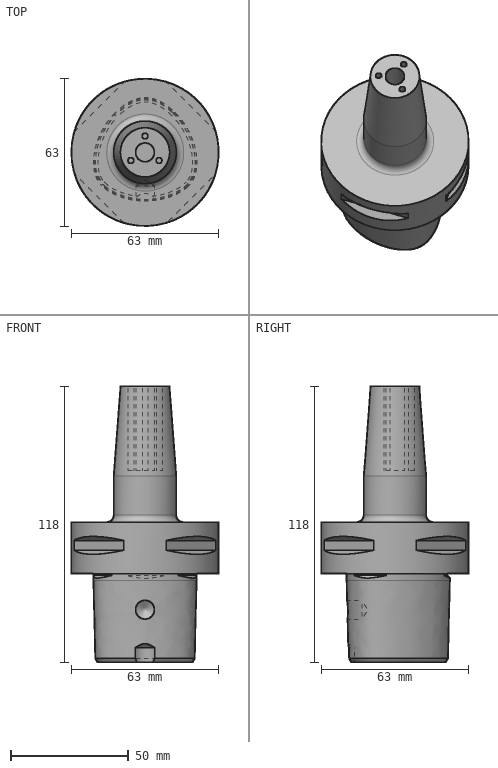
import cadquery as cq
import math

total_height = 118.0
shank_height = 38.0
flange_thickness = 22.0
flange_diameter = 63.0
flange_top = shank_height + flange_thickness

neck_diameter = 26.8
tip_diameter = 21.0
cone_height = 38.2
neck_fillet = 3.1
cone_base = total_height - cone_height

bore_diameter = 8.0
bore_depth = 36.0
coolant_hole_diameter = 2.5
coolant_hole_circle_radius = 7.0
coolant_hole_depth = 36.0
coolant_hole_angles = (90, 210, 330)

groove_floor_distance = 27.7
groove_floor_height = 4.1
groove_wall_angle = 25.0
groove_center_z = 50.0
cutter_overrun = 1.2
groove_angles = (45, 135, 225, 315)

polygon_mean_diameter = 44.2
polygon_mean_radius = polygon_mean_diameter / 2
polygon_eccentricity = 1.4
polygon_points = 72
collar_height = 2.8
taper_per_length = 1 / 40
bottom_chamfer_height = 1.8
bottom_chamfer_inset = 1.1

relief_radius = 22.4
relief_wall_height = 0.8
relief_cone_height = 1.9

index_hole_diameter = 8.0
index_hole_z = 22.5
index_hole_floor_y = -14.2
drill_point_half_angle = 59.0
keyway_radius = 5.1
keyway_axis_y = -22.5
keyway_wall_top = 6.3
keyway_cone_angle = 35.0


def polygon_point(mean_radius, angle):
    """Point of the constant-width lobed outline whose tangent is normal to the given angle."""
    lobe_phase = 3 * (angle - math.pi / 2)
    reach = mean_radius + polygon_eccentricity * math.cos(lobe_phase)
    slope = -3 * polygon_eccentricity * math.sin(lobe_phase)
    return (
        reach * math.cos(angle) - slope * math.sin(angle),
        reach * math.sin(angle) + slope * math.cos(angle),
    )


def polygon_wire(mean_radius, z):
    """Closed lobed outline at height z, starting on the -Y flat."""
    step = 2 * math.pi / polygon_points
    points = [polygon_point(mean_radius, i * step - math.pi / 2) for i in range(polygon_points)]
    edge = cq.Edge.makeSpline([cq.Vector(x, y, z) for x, y in points], periodic=True)
    return cq.Wire.assembleEdges([edge])


def polygon_section(lower_radius, lower_z, upper_radius, upper_z):
    """Solid between two lobed outlines."""
    wires = [polygon_wire(lower_radius, lower_z), polygon_wire(upper_radius, upper_z)]
    return cq.Workplane(cq.Solid.makeLoft(wires, True))


def make_shank():
    taper_top = shank_height - collar_height
    taper_height = taper_top - bottom_chamfer_height
    taper_bottom_radius = polygon_mean_radius - taper_height * taper_per_length
    face_radius = taper_bottom_radius - bottom_chamfer_inset

    chamfer = polygon_section(face_radius, 0, taper_bottom_radius, bottom_chamfer_height)
    taper = polygon_section(taper_bottom_radius, bottom_chamfer_height, polygon_mean_radius, taper_top)
    collar = polygon_section(polygon_mean_radius, taper_top, polygon_mean_radius, shank_height)
    return chamfer.union(taper).union(collar)


def make_lobe_relief():
    """Ring that leaves a cylinder, widening downward as a 45 degree cone, under the flange."""
    wall_bottom = shank_height - relief_wall_height
    cone_bottom = wall_bottom - relief_cone_height
    outer_radius = relief_radius + relief_cone_height
    return (
        cq.Workplane("XZ")
        .moveTo(relief_radius, shank_height)
        .lineTo(relief_radius, wall_bottom)
        .lineTo(outer_radius, cone_bottom)
        .lineTo(outer_radius, shank_height)
        .close()
        .revolve(360, (0, 0), (0, 1))
    )


def make_flange_and_nose():
    """Turned body above the shank."""
    neck_radius = neck_diameter / 2
    fillet_middle = neck_fillet * (1 - math.sqrt(0.5))
    return (
        cq.Workplane("XZ")
        .moveTo(0, shank_height)
        .lineTo(-flange_diameter / 2, shank_height)
        .lineTo(-flange_diameter / 2, flange_top)
        .lineTo(-neck_radius - neck_fillet, flange_top)
        .threePointArc(
            (-neck_radius - fillet_middle, flange_top + fillet_middle),
            (-neck_radius, flange_top + neck_fillet),
        )
        .lineTo(-neck_radius, cone_base)
        .lineTo(-tip_diameter / 2, total_height)
        .lineTo(0, total_height)
        .close()
        .revolve(360, (0, 0), (0, 1))
    )


def make_gripper_groove(angle):
    """Trapezoid cut running tangentially across the flange at the given angle."""
    outer_distance = flange_diameter / 2 + cutter_overrun
    flare = (outer_distance - groove_floor_distance) * math.tan(math.radians(groove_wall_angle))
    floor_half = groove_floor_height / 2
    mouth_half = floor_half + flare
    return (
        cq.Workplane("XZ")
        .moveTo(groove_floor_distance, groove_center_z - floor_half)
        .lineTo(outer_distance, groove_center_z - mouth_half)
        .lineTo(outer_distance, groove_center_z + mouth_half)
        .lineTo(groove_floor_distance, groove_center_z + floor_half)
        .close()
        .extrude(flange_diameter / 2, both=True)
        .rotate((0, 0, 0), (0, 0, 1), angle)
    )


def make_tip_hole(x, y, diameter, depth):
    return cq.Workplane(origin=(x, y, total_height - depth)).circle(diameter / 2).extrude(depth)


def make_pointed_cutter(radius, length, point_height):
    """Cylinder along +Z from the origin, ending in a cone."""
    return (
        cq.Workplane("XZ")
        .lineTo(radius, 0)
        .lineTo(radius, length)
        .lineTo(0, length + point_height)
        .close()
        .revolve(360, (0, 0), (0, 1))
    )


def make_index_hole():
    """Drilled hole entering along +Y from outside the shank."""
    radius = index_hole_diameter / 2
    start_y = -flange_diameter / 2
    point_height = radius / math.tan(math.radians(drill_point_half_angle))
    cutter = make_pointed_cutter(radius, index_hole_floor_y - start_y, point_height)
    return cutter.rotate((0, 0, 0), (1, 0, 0), -90).translate((0, start_y, index_hole_z))


def make_keyway():
    """Vertical cylindrical groove open at the bottom face and closed by a cone."""
    point_height = keyway_radius * math.tan(math.radians(keyway_cone_angle))
    cutter = make_pointed_cutter(keyway_radius, keyway_wall_top, point_height)
    return cutter.translate((0, keyway_axis_y, 0))


shank = make_shank().cut(make_lobe_relief()).cut(make_index_hole()).cut(make_keyway())
result = shank.union(make_flange_and_nose())

for groove_angle in groove_angles:
    result = result.cut(make_gripper_groove(groove_angle))

result = result.cut(make_tip_hole(0, 0, bore_diameter, bore_depth))
for hole_angle in coolant_hole_angles:
    hole_x = coolant_hole_circle_radius * math.cos(math.radians(hole_angle))
    hole_y = coolant_hole_circle_radius * math.sin(math.radians(hole_angle))
    result = result.cut(make_tip_hole(hole_x, hole_y, coolant_hole_diameter, coolant_hole_depth))